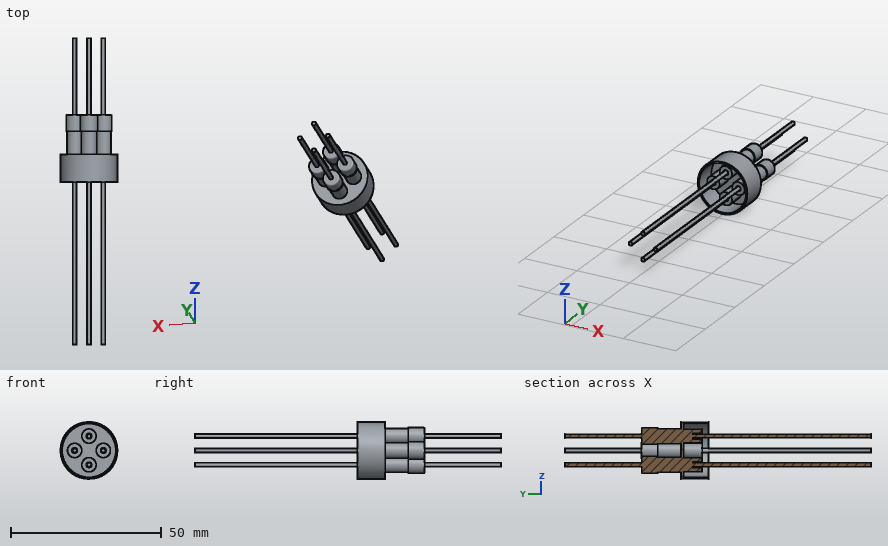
import cadquery as cq

pin_length = 101.6
pin_diameter = 1.4
pin_circle_radius = 4.76
pin_angles = (0, 90, 180, 270)
pin_front_y = -pin_length / 2

cup_diameter = 18.97
cup_wall = 0.6
cup_length = 9.2
cup_floor = 1.0
pin_front_projection = 53.9
cup_front_y = pin_front_y + pin_front_projection
cup_back_y = cup_front_y + cup_length
cup_floor_y = cup_back_y - cup_floor

sleeve_front_diameter = 4.75
sleeve_back_diameter = 5.1
sleeve_projection = 6.0
sleeve_back_length = 7.7
sleeve_front_y = cup_floor_y - sleeve_projection
bore_diameter = 1.8
bore_depth = 3.0
collar_diameter = 5.7
collar_length = 5.4
collar_fillet = 0.5
collar_front_y = cup_back_y + sleeve_back_length
collar_back_y = collar_front_y + collar_length


def cylinder(diameter, start_y, end_y):
    """Cylinder on the Y axis between two Y positions."""
    base = cq.Workplane("XZ", origin=(0, start_y, 0)).circle(diameter / 2)
    return base.extrude(start_y - end_y)


def make_cup():
    shell = cylinder(cup_diameter, cup_front_y, cup_back_y)
    cavity = cylinder(cup_diameter - 2 * cup_wall, cup_front_y, cup_floor_y)
    return shell.cut(cavity)


def make_feedthrough():
    """Pin with its sleeve and collar, centred on the Y axis."""
    pin = cylinder(pin_diameter, pin_front_y, pin_front_y + pin_length)
    front_sleeve = cylinder(sleeve_front_diameter, sleeve_front_y, cup_back_y)
    back_sleeve = cylinder(sleeve_back_diameter, cup_back_y, collar_front_y)
    sleeve = front_sleeve.union(back_sleeve)
    collar = cylinder(collar_diameter, collar_front_y, collar_back_y)
    collar = collar.faces(">Y").edges().fillet(collar_fillet)
    bore = cylinder(bore_diameter, sleeve_front_y, sleeve_front_y + bore_depth)
    return sleeve.union(collar).cut(bore).union(pin)


result = make_cup()
for angle in pin_angles:
    feedthrough = make_feedthrough().translate((pin_circle_radius, 0, 0))
    result = result.union(feedthrough.rotate((0, 0, 0), (0, 1, 0), angle))